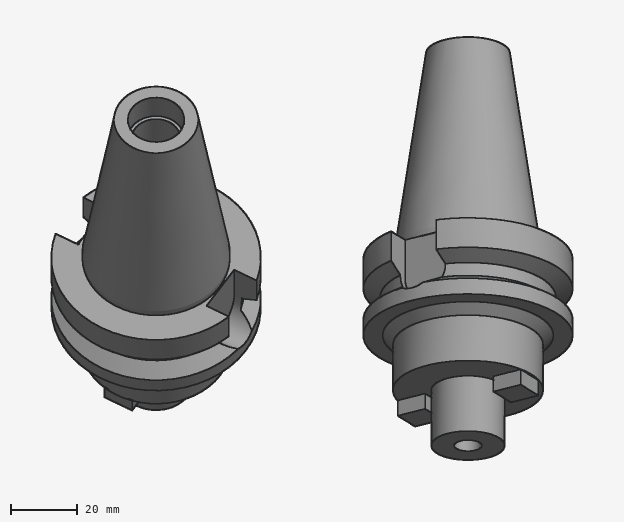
import cadquery as cq

total_height = 128.4
body_bottom = 18.1
flange_bottom = 36.1
rim_height = 5.1
groove_bottom = 44.3
groove_top = 48.5
upper_rim_bottom = 51.4
flange_top = 61.0
gauge_height = 63.0

pilot_radius = 11.0
body_radius = 22.6
flange_radius = 31.52
groove_radius = 26.5
gauge_radius = 22.2
taper_slope = 7 / 48
taper_top_radius = gauge_radius - taper_slope * (total_height - gauge_height)

neck_chamfer = 3.1

mouth_radius = 8.5
mouth_depth = 9.1
thread_radius = 7.3
thread_depth = 29.5
through_radius = 4.17

slot_width = 16.0
slot_floor = 22.6
slot_bottom = 40.2

key_size = 9.8
key_height = 5.0
key_inner = 12.2


def make_holder_body():
    """Revolve the outer outline of pilot, body, flange and taper."""
    outline = [
        (0, 0),
        (pilot_radius, 0),
        (pilot_radius, body_bottom),
        (body_radius, body_bottom),
        (body_radius, flange_bottom - neck_chamfer),
        (body_radius + neck_chamfer, flange_bottom),
        (flange_radius, flange_bottom),
        (flange_radius, flange_bottom + rim_height),
        (groove_radius, groove_bottom),
        (groove_radius, groove_top),
        (flange_radius, upper_rim_bottom),
        (flange_radius, flange_top),
        (gauge_radius, flange_top),
        (gauge_radius, gauge_height),
        (taper_top_radius, total_height),
        (0, total_height),
    ]
    return cq.Workplane("XZ").polyline(outline).close().revolve(360, (0, 0), (0, 1))


def make_bore():
    """Stack the three cylinders of the bore, open at both ends."""
    bore = cq.Workplane("XY").circle(through_radius).extrude(total_height)
    for radius, depth in ((thread_radius, thread_depth), (mouth_radius, mouth_depth)):
        step = cq.Workplane("XY", origin=(0, 0, total_height - depth)).circle(radius).extrude(depth)
        bore = bore.union(step)
    return bore


def make_slot(side):
    """Slot with a round lower end, running outward from its flat floor."""
    half_width = slot_width / 2
    round_center = slot_bottom + half_width
    return (
        cq.Workplane("YZ", origin=(side * slot_floor, 0, 0))
        .moveTo(-half_width, flange_top)
        .lineTo(-half_width, round_center)
        .threePointArc((0, slot_bottom), (half_width, round_center))
        .lineTo(half_width, flange_top)
        .close()
        .extrude(side * (flange_radius - slot_floor + 1.3))
    )


def make_key(side):
    """Square drive key hanging from the bottom face of the body."""
    center_y = side * (key_inner + key_size / 2)
    return (
        cq.Workplane("XY", origin=(0, center_y, body_bottom - key_height))
        .rect(key_size, key_size)
        .extrude(key_height)
    )


result = make_holder_body().cut(make_bore())
for side in (-1, 1):
    result = result.cut(make_slot(side)).union(make_key(side))